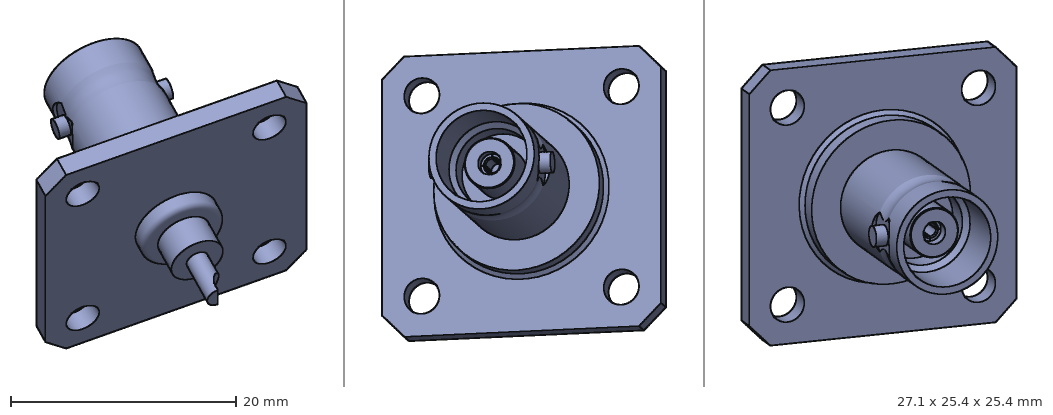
import cadquery as cq
import math

plate_front = 16.0
plate_back = 18.0
flange_front = 13.98
flange_cone_start = 15.65
boss_end = 19.62
sleeve_end = 22.57
length = 27.1

plate_side = 25.4
plate_corner = 2.0
mount_hole_diameter = 3.2
mount_hole_spacing = 18.15

barrel_diameter = 9.6
flange_diameter = 15.1
flange_cone_diameter = 15.93
boss_diameter = 7.9
boss_fillet = 0.55
sleeve_diameter = 5.0
tail_diameter = 2.1

mouth_diameter = 8.27
bore_diameter = 7.24
bore_cone_start = 5.15
bore_cone_end = 5.7
bore_floor = 8.13

lug_x = 4.06
lug_diameter = 1.9
lug_span = 11.05
spot_diameter = 4.28
spot_span = 8.83
groove_width = 2.28
groove_depth = 0.2

post_front = 3.2
post_diameter = 4.58
post_chamfer = 0.08
contact_recess = 1.08
contact_diameter = 2.1
contact_mouth_diameter = 1.55
contact_bore_diameter = 1.27
contact_cone_length = 0.14
contact_bore_end = 6.78
slot_width = 0.08
slot_length = 2.17

scoop_start = 24.93
scoop_radius = 1.73


def cylinder(diameter, start, end):
    """Cylinder along the connector axis between two stations."""
    return cq.Workplane("YZ", origin=(start, 0, 0)).circle(diameter / 2).extrude(end - start)


def cone(start_diameter, end_diameter, start, end):
    """Truncated cone along the connector axis between two stations."""
    solid = cq.Solid.makeCone(
        start_diameter / 2, end_diameter / 2, end - start, cq.Vector(start, 0, 0), cq.Vector(1, 0, 0)
    )
    return cq.Workplane(solid)


def mounting_plate():
    plate = (
        cq.Workplane("YZ", origin=(plate_front, 0, 0))
        .rect(plate_side, plate_side)
        .extrude(plate_back - plate_front)
        .edges("|X")
        .chamfer(plate_corner)
    )
    holes = (
        cq.Workplane("YZ", origin=(plate_front, 0, 0))
        .rect(mount_hole_spacing, mount_hole_spacing, forConstruction=True)
        .vertices()
        .circle(mount_hole_diameter / 2)
        .extrude(plate_back - plate_front)
    )
    return plate.cut(holes)


def lug_groove():
    """Shallow ring with a circular-arc floor, cut around the barrel."""
    radius = barrel_diameter / 2
    half_width = groove_width / 2
    return (
        cq.Workplane("XY")
        .moveTo(lug_x - half_width, radius)
        .threePointArc((lug_x, radius - groove_depth), (lug_x + half_width, radius))
        .lineTo(lug_x + half_width, radius + 0.27)
        .lineTo(lug_x - half_width, radius + 0.27)
        .close()
        .revolve(360, (0, 0, 0), (1, 0, 0))
    )


def spot_face(side):
    """Round cutter that leaves a flat seat on the +Y or -Y side of the barrel."""
    depth = (barrel_diameter - spot_span) / 2
    return (
        cq.Workplane("XZ", origin=(lug_x, side * spot_span / 2, 0))
        .circle(spot_diameter / 2)
        .extrude(-side * depth)
    )


def lug(side):
    """Bayonet pin from inside the barrel wall out to the lug span."""
    root = (mouth_diameter + spot_span) / 4
    return (
        cq.Workplane("XZ", origin=(lug_x, side * root, 0))
        .circle(lug_diameter / 2)
        .extrude(-side * (lug_span / 2 - root))
    )


def barrel():
    body = cylinder(barrel_diameter, 0, plate_front).cut(lug_groove())
    for side in (-1, 1):
        body = body.cut(spot_face(side))
        body = body.union(lug(side))
    bore = (
        cylinder(mouth_diameter, 0, bore_cone_start)
        .union(cone(mouth_diameter, bore_diameter, bore_cone_start, bore_cone_end))
        .union(cylinder(bore_diameter, bore_cone_end, bore_floor))
    )
    return body.cut(bore)


def contact_post():
    """Insulator post with a recessed, four-slotted contact socket in its end."""
    contact_front = post_front + contact_recess
    cone_end = contact_front + contact_cone_length
    post = cylinder(post_diameter, post_front, bore_floor).faces("<X").chamfer(post_chamfer)
    post = post.cut(cylinder(contact_diameter, post_front, contact_front))
    post = post.cut(cone(contact_mouth_diameter, contact_bore_diameter, contact_front, cone_end))
    post = post.cut(cylinder(contact_bore_diameter, cone_end, contact_bore_end))
    slot_region = cylinder(contact_diameter, contact_front, contact_front + slot_length)
    for width, height in ((slot_width, contact_diameter), (contact_diameter, slot_width)):
        slot = cq.Workplane("YZ", origin=(contact_front, 0, 0)).rect(width, height).extrude(slot_length)
        post = post.cut(slot.intersect(slot_region))
    return post


def flange():
    ring = cylinder(flange_diameter, flange_front, flange_cone_start)
    ring = ring.union(cone(flange_diameter, flange_cone_diameter, flange_cone_start, plate_front))
    return ring


def solder_tail():
    """Tail pin cut down to its axis on the +Y side, with an arc leading into the flat."""
    radius = tail_diameter / 2
    rise_angle = math.acos(1 - radius / scoop_radius)
    flat_start = scoop_start + scoop_radius * math.sin(rise_angle)
    middle = (
        flat_start - scoop_radius * math.sin(rise_angle / 2),
        scoop_radius * (1 - math.cos(rise_angle / 2)),
    )
    scoop = (
        cq.Workplane("XY")
        .moveTo(scoop_start, radius)
        .threePointArc(middle, (flat_start, 0))
        .lineTo(length, 0)
        .lineTo(length, radius)
        .close()
        .extrude(radius, both=True)
    )
    return cylinder(tail_diameter, sleeve_end, length).cut(scoop)


rear_boss = cylinder(boss_diameter, plate_back, boss_end).faces(">X").edges().fillet(boss_fillet)
sleeve = cylinder(sleeve_diameter, boss_end, sleeve_end)

result = (
    mounting_plate()
    .union(flange())
    .union(barrel())
    .union(contact_post())
    .union(rear_boss)
    .union(sleeve)
    .union(solder_tail())
)